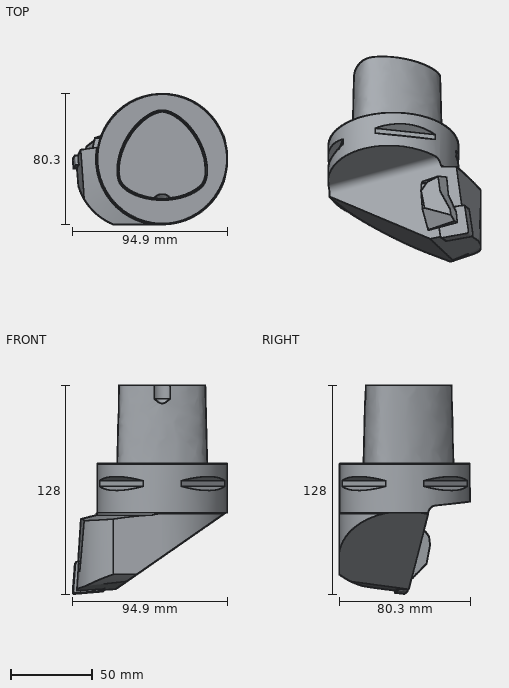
import cadquery as cq
import math


shank_height = 48.0
shank_base_radius = 27.6
shank_top_radius = 26.5
lobe_height = 2.3
lobes = 3
outline_points = 72

notch_radius = 5.9
notch_axis_y = -27.4
notch_cone_z = 39.7

flange_diameter = 80.0
flange_radius = flange_diameter / 2
flange_bottom_z = -30.2
flange_chamfer = 0.4
groove_floor_distance = 35.3
groove_center_z = -12.3
groove_floor_width = 3.5
groove_mouth_width = 8.6
groove_count = 4

head_diameter = 80.5
head_radius = head_diameter / 2
head_bottom_z = -81.9
side_arc_center = (-15.6, -5.6)
side_arc_start_x = -30.0
head_back_y = 25.6
collar_radius = 40.7
collar_z = -31.6
shoulder_slope = 0.26
shoulder_radius = 76.8

flank_point = (-49.5, 0, -34.5)
flank_slope_y = 0.072
flank_slope_z = 0.074
base_point = (-28.5, 2.4, -77.0)
base_slope_x = 0.08
base_slope_y = 0.12
ramp_top = (flange_radius, -29.5)
ramp_bottom = (-28.5, -77.0)
heel_points = [(-head_radius, -68.0), (-32.0, -72.8), (-17.9, -76.7)]

rake_point = (-49.3, 5.8, -34.0)
rake_slope_x = 0.095
rake_slope_z = 0.12
relief_corner_height = 7.8
relief_ceiling_slope = 0.1
relief_fillet = 5.1

clamp_outline = [(-1.3, -38.4), (6.4, -39.5), (12.8, -41.7), (15.0, -44.8), (15.6, -49.9), (13.5, -61.5),
                 (3.8, -71.2), (-1.3, -71.2)]
clamp_plan = [(-26.9, -37.1), (-44.3, -37.1), (-44.3, -51.2), (-48.4, -64.0), (-48.4, -73.0), (-26.9, -73.0)]
clamp_base_y = -1.3
clamp_height = 17.9
clamp_taper = 12.0
clamp_facet_point = (-41.6, 11.8, -48.6)
clamp_facet_normal = (-1.4, 3.8, -0.6)

insert_tip_x = -55.0
insert_tip_z = -80.1
insert_edge = 19.5
insert_angle = 80.0
insert_tilt = 0.087
insert_thickness = 5.9
insert_corner_radius = 1.2

cutter_size = 256.0


def cutter_beyond(point, normal):
    """Block that fills the space beyond a plane, on the side its normal points to."""
    plane = cq.Plane(origin=point, normal=normal)
    return cq.Workplane(plane).rect(cutter_size, cutter_size).extrude(cutter_size)


def rake_y(x, z):
    """Y of the rake face at a given X and Z."""
    return rake_point[1] + rake_slope_x * (x - rake_point[0]) + rake_slope_z * (z - rake_point[2])


def polygon_outline(mean_radius):
    """Points of a rounded three-lobed outline with one lobe toward +Y."""
    points = []
    for i in range(outline_points):
        angle = 2 * math.pi * i / outline_points
        lobe_angle = lobes * (angle - math.pi / 2)
        reach = mean_radius + lobe_height * math.cos(lobe_angle)
        turn = -lobes * lobe_height * math.sin(lobe_angle)
        points.append((
            reach * math.cos(angle) - turn * math.sin(angle),
            reach * math.sin(angle) + turn * math.cos(angle),
        ))
    return points


def make_shank():
    shank = (
        cq.Workplane("XY")
        .spline(polygon_outline(shank_base_radius), periodic=True).close()
        .workplane(offset=shank_height)
        .spline(polygon_outline(shank_top_radius), periodic=True).close()
        .loft(ruled=True)
    )
    notch = (
        cq.Workplane("XZ")
        .polyline([
            (0, notch_cone_z - notch_radius),
            (notch_radius, notch_cone_z),
            (notch_radius, shank_height),
            (0, shank_height),
        ]).close()
        .revolve(360, (0, 0), (0, 1))
        .translate((0, notch_axis_y, 0))
    )
    return shank.cut(notch)


def make_flange():
    flange = (
        cq.Workplane("XY").circle(flange_radius).extrude(flange_bottom_z)
        .faces(">Z").edges().chamfer(flange_chamfer)
    )
    wall_rise = (groove_mouth_width - groove_floor_width) / 2
    wall_slope = wall_rise / (flange_radius - groove_floor_distance)
    outer_distance = flange_radius + 1.3
    outer_half = groove_floor_width / 2 + wall_slope * (outer_distance - groove_floor_distance)
    groove = (
        cq.Workplane("XZ", origin=(0, 0, groove_center_z))
        .polyline([
            (groove_floor_distance, -groove_floor_width / 2),
            (outer_distance, -outer_half),
            (outer_distance, outer_half),
            (groove_floor_distance, groove_floor_width / 2),
        ]).close()
        .extrude(flange_radius, both=True)
    )
    pitch = 360 / groove_count
    for i in range(groove_count):
        flange = flange.cut(groove.rotate((0, 0, 0), (0, 0, 1), pitch * (i + 0.5)))
    return flange


def make_head_blank():
    """Head outline carried down from the flange, under a conical shoulder."""
    center_x, center_y = side_arc_center
    arc_radius = math.hypot(side_arc_start_x - center_x, -head_radius - center_y)
    arc_diagonal = arc_radius * math.sqrt(0.5)
    prism = (
        cq.Workplane("XY", origin=(0, 0, flange_bottom_z))
        .moveTo(0, -head_radius)
        .lineTo(side_arc_start_x, -head_radius)
        .threePointArc((center_x - arc_diagonal, center_y - arc_diagonal), (center_x - arc_radius, center_y))
        .lineTo(center_x - arc_radius, head_back_y)
        .lineTo(0, head_radius)
        .threePointArc((head_radius, 0), (0, -head_radius))
        .close()
        .extrude(head_bottom_z - flange_bottom_z)
    )
    shoulder = (
        cq.Workplane("XZ")
        .polyline([
            (0, flange_bottom_z),
            (flange_radius, flange_bottom_z),
            (collar_radius, collar_z),
            (shoulder_radius, collar_z - shoulder_slope * (shoulder_radius - collar_radius)),
            (shoulder_radius, head_bottom_z),
            (0, head_bottom_z),
        ]).close()
        .revolve(360, (0, 0), (0, 1))
    )
    return prism.intersect(shoulder)


def make_heel_cutter():
    """Space below the curved heel at the -Y side of the head."""
    start, middle, end = heel_points
    return (
        cq.Workplane("YZ")
        .moveTo(*start)
        .threePointArc(middle, end)
        .lineTo(end[0], head_bottom_z)
        .lineTo(start[0] - 1.3, head_bottom_z)
        .lineTo(start[0] - 1.3, start[1])
        .close()
        .extrude(cutter_size / 2, both=True)
    )


def make_head():
    ramp_run = ramp_top[0] - ramp_bottom[0]
    ramp_rise = ramp_top[1] - ramp_bottom[1]
    flank = cutter_beyond(flank_point, (-1, -flank_slope_y, flank_slope_z))
    base = cutter_beyond(base_point, (base_slope_x, -base_slope_y, -1))
    ramp = cutter_beyond((ramp_top[0], 0, ramp_top[1]), (ramp_rise, 0, -ramp_run))
    return make_head_blank().cut(flank).cut(base).cut(ramp).cut(make_heel_cutter())


def make_relief():
    """Open space in front of the rake face, rounded where it meets its ceiling."""
    plane = cq.Plane(
        origin=rake_point,
        xDir=(-rake_slope_x, 1, 0),
        normal=(1, rake_slope_x, 0),
    )
    reach = cutter_size / 4
    corner = (rake_slope_z * relief_corner_height, relief_corner_height)
    corner_point = plane.toWorldCoords((corner[0], corner[1], 0)).toTuple()
    return (
        cq.Workplane(plane)
        .polyline([
            (-rake_slope_z * reach, -reach),
            corner,
            (reach, corner[1] + relief_ceiling_slope * (reach - corner[0])),
            (reach, -reach),
        ]).close()
        .extrude(cutter_size / 2, both=True)
        .edges(cq.NearestToPointSelector(corner_point)).fillet(relief_fillet)
    )


def make_clamp():
    side = cq.Workplane("YZ").polyline(clamp_outline).close().extrude(-cutter_size / 2)
    plan = (
        cq.Workplane("XZ", origin=(0, clamp_base_y, 0))
        .polyline(clamp_plan).close()
        .extrude(-clamp_height, taper=clamp_taper)
    )
    return side.intersect(plan).cut(cutter_beyond(clamp_facet_point, clamp_facet_normal))


def make_insert():
    """Rhombic insert with its upper face flush with the rake face."""
    tip = (insert_tip_x, rake_y(insert_tip_x, insert_tip_z), insert_tip_z)
    plane = cq.Plane(
        origin=tip,
        xDir=(1, rake_slope_x + rake_slope_z * insert_tilt, insert_tilt),
        normal=(-rake_slope_x, 1, -rake_slope_z),
    )
    lean = insert_edge * math.cos(math.radians(insert_angle))
    rise = insert_edge * math.sin(math.radians(insert_angle))
    return (
        cq.Workplane(plane)
        .polyline([(0, 0), (insert_edge, 0), (insert_edge + lean, -rise), (lean, -rise)]).close()
        .extrude(-insert_thickness)
        .edges(cq.ParallelDirSelector(plane.zDir)).fillet(insert_corner_radius)
    )


insert = make_insert()
holder = make_flange().union(make_shank()).union(make_head())
holder = holder.cut(make_relief()).union(make_clamp()).cut(insert)

result = cq.Compound.makeCompound([holder.solids().val(), insert.solids().val()])